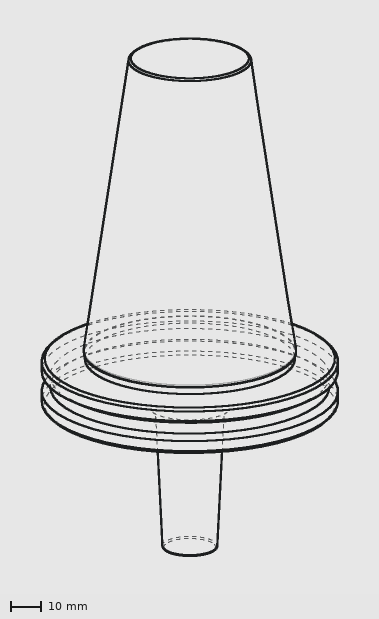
import cadquery as cq
import math

total_length = 170.8
taper_length = 101.7
neck_length = 3.2
flange_thickness = 15.9
gauge_z = total_length - taper_length
flange_top_z = gauge_z - neck_length
flange_bottom_z = flange_top_z - flange_thickness

gauge_diameter = 69.9
gauge_radius = gauge_diameter / 2
taper_on_diameter = 7 / 24
small_end_radius = gauge_radius - taper_length * taper_on_diameter / 2
small_end_chamfer = 0.7

neck_step = 0.3
gauge_land_height = 0.9

flange_diameter = 97.5
flange_radius = flange_diameter / 2
flange_chamfer = 1.0
groove_floor_radius = 46.0
groove_floor_width = 3.8
groove_center_depth = 7.9
groove_center_z = flange_top_z - groove_center_depth
groove_wall_angle = 30
groove_depth = flange_radius - groove_floor_radius
groove_wall_height = groove_depth * math.tan(math.radians(groove_wall_angle))
floor_half = groove_floor_width / 2
mouth_half = floor_half + groove_wall_height

nose_tip_radius = 9.0
nose_root_radius = 11.5
nose_tip_chamfer = 0.5
nose_fillet = 5.1


def make_body():
    """Turned body without its edge breaks."""
    outline = [
        (0, 0),
        (nose_tip_radius, 0),
        (nose_root_radius, flange_bottom_z),
        (flange_radius, flange_bottom_z),
        (flange_radius, groove_center_z - mouth_half),
        (groove_floor_radius, groove_center_z - floor_half),
        (groove_floor_radius, groove_center_z + floor_half),
        (flange_radius, groove_center_z + mouth_half),
        (flange_radius, flange_top_z),
        (gauge_radius - neck_step, flange_top_z),
        (gauge_radius - neck_step, gauge_z - gauge_land_height),
        (gauge_radius, gauge_z - gauge_land_height),
        (gauge_radius, gauge_z),
        (small_end_radius, total_length),
        (0, total_length),
    ]
    return cq.Workplane("XZ").polyline(outline).close().revolve(360, (0, 0, 0), (0, 1, 0))


def circle_at(radius, z):
    """Selector for the circular edge of the given radius and height."""
    margin = 0.02
    return cq.selectors.BoxSelector(
        (-radius - margin, -radius - margin, z - margin),
        (radius + margin, radius + margin, z + margin),
        boundingbox=True,
    )


result = make_body()

result = result.edges(circle_at(nose_root_radius, flange_bottom_z)).fillet(nose_fillet)
result = result.faces(">Z").edges().chamfer(small_end_chamfer)
result = result.faces("<Z").edges().chamfer(nose_tip_chamfer)
for rim_z in (flange_bottom_z, flange_top_z):
    rim = result.edges(circle_at(flange_radius, rim_z))
    outer_rim = rim.edges(cq.selectors.RadiusNthSelector(-1))
    result = outer_rim.chamfer(flange_chamfer)